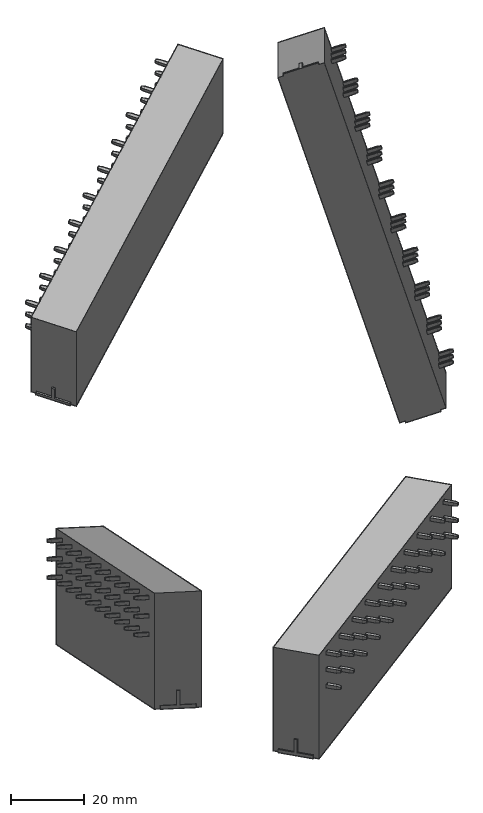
import cadquery as cq

TOTAL_LENGTH = 104.6
TOTAL_DEPTH = 17.4
HEIGHT = 32.0

RIB_HEIGHT = 0.5
RIB_BAR_WIDTH = 10.2
RIB_BAR_THICKNESS = 1.0
RIB_STEM_WIDTH = 0.9
RIB_STEM_TOP = 5.0

HOUSING_DEPTH = 13.3
HOUSING_LENGTH = TOTAL_LENGTH - 2 * RIB_HEIGHT

PIN_COLUMNS = 10
PIN_ROWS = 3
COLUMN_SPAN = 91.5
COLUMN_PITCH = COLUMN_SPAN / (PIN_COLUMNS - 1)
ROW_PITCH = COLUMN_PITCH / 2
TOP_ROW_DROP = 2.2
PIN_LENGTH = TOTAL_DEPTH - HOUSING_DEPTH
PIN_SIZE = 1.0
PIN_TIP_LENGTH = 1.0
PIN_TIP_SIZE = 0.7


def make_housing():
    return cq.Workplane("XY").box(HOUSING_DEPTH, HOUSING_LENGTH, HEIGHT, centered=(True, True, False))


def make_end_ribs():
    """Inverted T ribs; both ends share one solid running through the housing."""
    def strip(width, height):
        return cq.Workplane("XY").box(width, TOTAL_LENGTH, height, centered=(True, True, False))

    stem = strip(RIB_STEM_WIDTH, RIB_STEM_TOP)
    return strip(RIB_BAR_WIDTH, RIB_BAR_THICKNESS).union(stem)


def make_pin(y, z):
    """Square pin pointing to -X, ending in a tapered tip."""
    face = cq.Plane(origin=(-HOUSING_DEPTH / 2, y, z), xDir=(0, 1, 0), normal=(-1, 0, 0))
    shank_length = PIN_LENGTH - PIN_TIP_LENGTH
    shank = cq.Workplane(face).rect(PIN_SIZE, PIN_SIZE).extrude(shank_length)
    tip = (
        cq.Workplane(face)
        .workplane(offset=shank_length)
        .rect(PIN_SIZE, PIN_SIZE)
        .workplane(offset=PIN_TIP_LENGTH)
        .rect(PIN_TIP_SIZE, PIN_TIP_SIZE)
        .loft()
    )
    return shank.union(tip)


result = make_housing().union(make_end_ribs())
for column in range(PIN_COLUMNS):
    pin_y = column * COLUMN_PITCH - COLUMN_SPAN / 2
    for row in range(PIN_ROWS):
        pin_z = HEIGHT - TOP_ROW_DROP - row * ROW_PITCH
        result = result.union(make_pin(pin_y, pin_z))